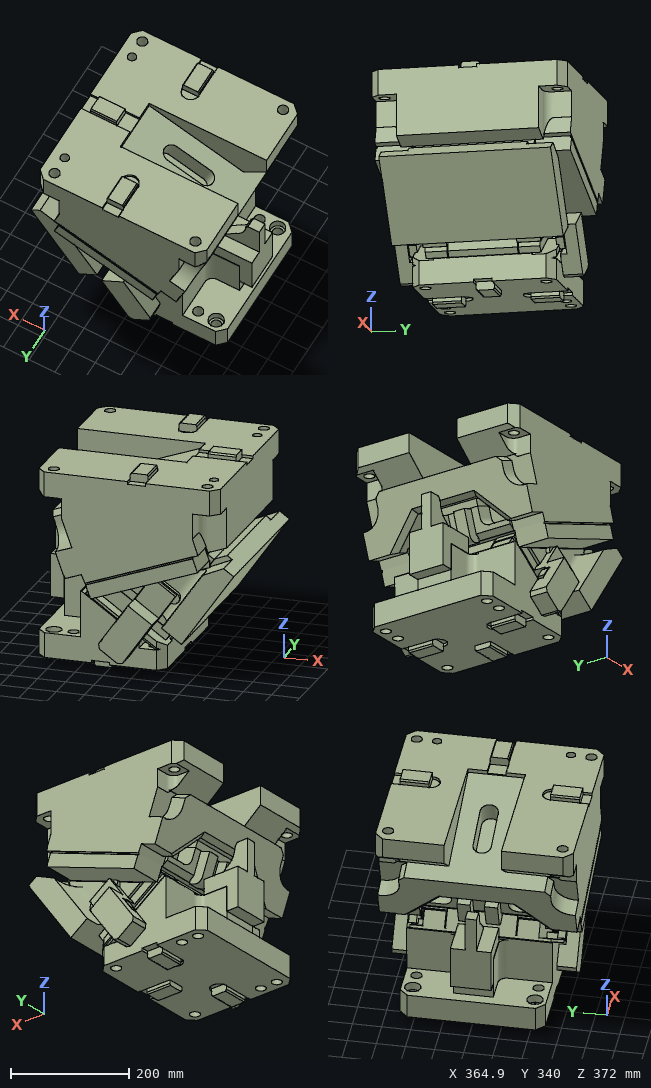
import cadquery as cq
import math


total_height = 372.0
key_stand_out = 10.0
base_bottom = key_stand_out
holder_top = total_height - key_stand_out
plate_thickness = 45.0
corner_chamfer = 15.0
inner_radius = 15.0
clearance = 0.7

bolt_hole = 18.5
dowel_hole = 15.5
counterbore = 27.0
counterbore_depth = 15.0
bolt_inset_x = 25.3
bolt_inset_y = 20.0

key_width = 32.0
key_length = 50.2
key_sink = 5.0
key_bevel_height = 3.5
key_bevel_width = 2.0

holder_left = 19.5
holder_right = 343.7
holder_half = 170.0
holder_angle = 20.0
arch_tip = (33.0, 276.8)
arch_height = 109.5
arch_thickness = 31.5
holder_bed_start = (106.8, 169.5)
lip_left = 310.5
lip_drop = 11.0
ramp_half = 49.0
ramp_wall_x = 247.8
holder_key_x = 198.3
holder_key_y = 104.0
holder_end_key_x = 274.5
holder_dowel_y = 115.0
side_pocket_y = 130.5
rear_pocket_y = 123.5
front_pocket_x = 64.7
rear_pocket_x = 298.5

strip_inner = 107.5
strip_thickness = 25.5
strip_gap = 3.0
strip_length = 203.0

base_left = 4.5
base_right = 234.0
base_half = 125.0
base_angle = 35.0
wall_x = 83.7
bed_start = (94.5, 137.3)
bed_length = 154.8
rail_height = 28.5
rail_outer = 99.7
rail_gap = 2.0
wear_outer = 102.3
guide_half = 60.3
guide_height = 41.0
bed_step = 5.0
rear_bed_start = 93.0
rear_bed_height = 10.5
base_key_x = 119.5
base_key_y = 60.3
base_end_key_x = 164.5
base_dowel_x = 64.7

post_left = 24.5
post_half = 34.2
post_top = 134.0
stop_half = 35.0
stop_leg_bottom = 86.0
stop_shoulder = 164.0
stop_top = 228.5
stop_right = 74.0
web_half = 9.5

slide_floor = 48.0
slide_half = 105.5
slide_web_half = 108.0
core_top = 190.0
core_top_start = 122.5
core_top_end = 136.5
core_floor_start = 7.5
nose_depth = 26.0
nose_floor = 35.5
nose_floor_end = -8.0
wing_rise = 21.5
rib_rise = 57.5
rib_half = 49.0
rib_radius = 15.5
wear_floor = 30.5
face_half = 149.0
face_outer = 183.0
face_inner = 139.0
face_top = 210.0
face_side_top = 174.0
face_middle_half = 103.0
bar_left = 71.5
bar_right = 124.0
bar_bottom = -51.7
bar_top = 98.0
bar_outer = 159.0
bar_chamfer = 6.7
bar_shoulder = 46.0
lug_outer = 134.5
bar_upper_outer = 122.8

rad_holder = math.radians(holder_angle)
rad_base = math.radians(base_angle)
sin_h, cos_h, tan_h = math.sin(rad_holder), math.cos(rad_holder), math.tan(rad_holder)
sin_b, cos_b = math.sin(rad_base), math.cos(rad_base)


def slab(points, y_low, y_high):
    """Solid with an XZ outline, running from y_low to y_high."""
    return cq.Workplane("XZ", origin=(0, y_high, 0)).polyline(points).close().extrude(y_high - y_low)


def both_sides(points, y_low, y_high):
    """The same slab on the left and right of the plane of symmetry."""
    return slab(points, y_low, y_high).union(slab(points, -y_high, -y_low))


def block(x_low, x_high, y_low, y_high, z_low, z_high):
    size = (x_high - x_low, y_high - y_low, z_high - z_low)
    return cq.Workplane("XY").box(*size, centered=False).translate((x_low, y_low, z_low))


def under_holder(along, down):
    """XZ point measured along the holder bed (up to the right) and square below it."""
    x, z = holder_bed_start
    return (x + along * cos_h + down * sin_h, z + along * sin_h - down * cos_h)


def on_arch(depth, down):
    """XZ point measured square into the arch face and down along it."""
    x, z = arch_tip
    return (x + depth * cos_h + down * sin_h, z + depth * sin_h - down * cos_h)


def on_base(along, up):
    """XZ point measured down along the base bed and square above it."""
    x, z = bed_start
    return (x + along * cos_b + up * sin_b, z - along * sin_b + up * cos_b)


def holder_bed_z(x):
    return holder_bed_start[1] + (x - holder_bed_start[0]) * tan_h


def base_bed_x(z, up):
    """X where the plane at height `up` above the base bed reaches height z."""
    start_x, start_z = on_base(0, up)
    return start_x + (start_z - z) * cos_b / sin_b


def key(length):
    """Bar key along X, centred, resting on z = 0, with its long upper edges bevelled."""
    half = key_width / 2
    height = key_sink + key_stand_out
    outline = [
        (-half, 0),
        (half, 0),
        (half, height - key_bevel_height),
        (half - key_bevel_width, height),
        (key_bevel_width - half, height),
        (-half, height - key_bevel_height),
    ]
    return cq.Workplane("YZ", origin=(-length / 2, 0, 0)).polyline(outline).close().extrude(length)


def key_seats(side_x, side_y, half_width, end_start, end_stop):
    """Grooves below z = 0: a round-ended one from each side and a straight one from the end."""
    seats = block(end_start, end_stop, -key_width / 2, key_width / 2, -key_sink, 0)
    for side in (-1, 1):
        middle = side * (side_y + half_width) / 2
        straight = cq.Workplane("XY", origin=(side_x, middle, -key_sink))
        seats = seats.union(straight.rect(key_width, half_width - side_y).extrude(key_sink))
        round_end = cq.Workplane("XY", origin=(side_x, side * side_y, -key_sink))
        seats = seats.union(round_end.circle(key_width / 2).extrude(key_sink))
    return seats


def keys(side_x, side_y, end_x):
    """Two side keys and one end key, seated key_sink below z = 0."""
    end_key = key(key_length).translate((end_x + key_length / 2, 0, -key_sink))
    all_keys = end_key
    for side in (-1, 1):
        side_key = key(key_length).rotate((0, 0, 0), (0, 0, 1), 90)
        all_keys = all_keys.union(side_key.translate((side_x, side * (side_y + key_length / 2), -key_sink)))
    return all_keys


def flip_down(shape):
    """Turn a shape made for an upper face over to the lower face at base_bottom."""
    return shape.mirror("XY").translate((0, 0, base_bottom))


def vertical_holes(points, diameter, z_low, z_high):
    start = cq.Workplane("XY", origin=(0, 0, z_low))
    return start.pushPoints(points).circle(diameter / 2).extrude(z_high - z_low)


def mirrored(x, y):
    return [(x, y), (x, -y)]


def mounting_plate(left, right, half_width, bottom):
    plate = block(left, right, -half_width, half_width, bottom, bottom + plate_thickness)
    return plate.edges("|Z").chamfer(corner_chamfer)


arch_plane = cq.Plane(
    origin=(arch_tip[0], 0, arch_tip[1]),
    xDir=(0, -1, 0),
    normal=(-cos_h, 0, -sin_h),
)
plate_bottom = holder_top - plate_thickness


def holder_casting():
    under_slope_top = 324.5
    under_slope_end = on_arch(32.7, 0)
    lip_front = lip_left - lip_drop * sin_h * cos_h
    outline = [
        (holder_left, holder_top),
        (holder_right, holder_top),
        (holder_right, holder_bed_z(holder_right) - lip_drop),
        (lip_left, holder_bed_z(lip_left) - lip_drop),
        (lip_front, holder_bed_z(lip_front)),
        holder_bed_start,
        on_arch(arch_thickness, arch_height),
        on_arch(0, arch_height),
        arch_tip,
        under_slope_end,
        (holder_left, under_slope_top),
    ]
    body = slab(outline, -holder_half, holder_half)
    corners = block(holder_left, holder_right, -holder_half, holder_half, 0, holder_top)
    corners = corners.edges("|Z").chamfer(corner_chamfer)
    corners = corners.union(block(0, holder_right, -holder_half, holder_half, 0, plate_bottom))
    return body.intersect(corners)


def ramp_opening():
    """Notch in the plate down to a ramp that continues the upper arch edge."""
    wall_base = arch_tip[1] + (ramp_wall_x - arch_tip[0]) * tan_h
    outline = [
        arch_tip,
        (ramp_wall_x, wall_base),
        (ramp_wall_x, total_height),
        (arch_tip[0] - corner_chamfer, total_height),
        (arch_tip[0] - corner_chamfer, arch_tip[1]),
    ]
    return slab(outline, -ramp_half, ramp_half)


def ramp_slot():
    slot_x = 142.5
    slot_length = 100.5
    slot_width = 31.2
    slot_depth = 41.0
    slot_z = arch_tip[1] + (slot_x - arch_tip[0]) * tan_h
    plane = cq.Plane(origin=(slot_x, 0, slot_z), xDir=(cos_h, 0, sin_h), normal=(-sin_h, 0, cos_h))
    return cq.Workplane(plane).slot2D(slot_length, slot_width).extrude(-slot_depth)


def holder_side_pockets():
    """Bolt pockets under the four corners of the plate."""
    front_low = 275.3
    outside = holder_half + inner_radius
    pockets = cq.Workplane("XY")
    for side in (-1, 1):
        inner = "<Y" if side > 0 else ">Y"
        y_low, y_high = sorted((side * side_pocket_y, side * outside))
        front = block(0, front_pocket_x, y_low, y_high, front_low, plate_bottom)
        front = front.edges("|Z").edges(">X").edges(inner).fillet(inner_radius)
        y_low, y_high = sorted((side * rear_pocket_y, side * outside))
        rear = block(rear_pocket_x, holder_right + 3.7, y_low, y_high, 0, plate_bottom)
        rear = rear.edges("|Z").edges("<X").edges(inner).fillet(inner_radius)
        pockets = pockets.add(front).add(rear)
    return pockets.combine()


def rear_wedges():
    """Toe of each side wall that leans out below the rear pockets."""
    toe_x = 308.0
    top = 272.0
    outline = [
        (rear_pocket_x, top),
        (toe_x, holder_bed_z(toe_x)),
        (rear_pocket_x, holder_bed_z(rear_pocket_x)),
    ]
    return both_sides(outline, rear_pocket_y, holder_half)


def arch_shoulders():
    """Rounded cut-outs in both upper corners of the arch face."""
    chamfer = 9.5
    round_start = 25.3
    round_end = 60.0
    round_edge = 165.0
    outside = holder_half + 3.7
    middle = math.sqrt(0.5)
    arc_middle = (
        round_edge - (round_edge - side_pocket_y) * middle,
        -round_start - (round_end - round_start) * middle,
    )
    right = (
        cq.Workplane(arch_plane)
        .moveTo(side_pocket_y - chamfer, 0)
        .lineTo(side_pocket_y, -chamfer)
        .lineTo(side_pocket_y, -round_start)
        .threePointArc(arc_middle, (round_edge, -round_end))
        .lineTo(outside, -round_end)
        .lineTo(outside, 0)
        .close()
        .extrude(-arch_thickness)
    )
    return right.union(right.mirror("XZ"))


notch_top = 45.0
notch_depth = 61.0


def arch_notch():
    """Trapezoid opening in the arch foot with a bevelled mouth, ahead of the slide channel."""
    top_half = 64.5
    foot_half = 125.7
    bevel = 9.5
    overshoot = 29.8
    slope = (foot_half - top_half) / (arch_height - notch_top)
    below = arch_height + overshoot
    below_half = foot_half + overshoot * slope
    outline = [(-top_half, -notch_top), (top_half, -notch_top), (below_half, -below), (-below_half, -below)]
    mouth = cq.Workplane(arch_plane).polyline(outline).close().extrude(-bevel, taper=45)
    inner_face = cq.selectors.DirectionMinMaxSelector(cq.Vector(cos_h, 0, sin_h), True)
    inner = mouth.faces(inner_face).wires()
    middle = inner.toPending().workplane().extrude(nose_depth - bevel, combine=False)
    through_arch = inner.toPending().workplane().extrude(arch_thickness - bevel, combine=False)
    recess = inner.toPending().workplane().extrude(notch_depth - bevel, combine=False)
    channel = block(0, holder_right, -slide_half, slide_half, 0, total_height)
    rib_wall = block(0, holder_right, -rib_half, rib_half, 0, total_height)
    sides = through_arch.union(recess.intersect(channel)).cut(rib_wall)
    return mouth.union(middle).union(sides)


def slide_section():
    """Wings and filleted middle rib of the slide above the bed plane."""
    start_x, start_z = on_arch(nose_depth, 0)
    bed_depth = (start_x - holder_bed_start[0]) * cos_h + (start_z - holder_bed_start[1]) * sin_h
    origin_x, origin_z = under_holder(bed_depth, 0)
    plane = cq.Plane(origin=(origin_x, 0, origin_z), xDir=(0, 1, 0), normal=(cos_h, 0, sin_h))
    middle = rib_radius * (1 - math.sqrt(0.5))
    fillet_end = rib_half + rib_radius
    fillet_top = wing_rise + rib_radius
    return (
        cq.Workplane(plane)
        .moveTo(-slide_half, 0)
        .lineTo(slide_half, 0)
        .lineTo(slide_half, wing_rise)
        .lineTo(fillet_end, wing_rise)
        .threePointArc((rib_half + middle, wing_rise + middle), (rib_half, fillet_top))
        .lineTo(rib_half, rib_rise)
        .lineTo(-rib_half, rib_rise)
        .lineTo(-rib_half, fillet_top)
        .threePointArc((-rib_half - middle, wing_rise + middle), (-fillet_end, wing_rise))
        .lineTo(-slide_half, wing_rise)
        .close()
        .extrude(strip_length - bed_depth)
    )


def gib_strips():
    """Strips on both sides of the slide channel, behind a narrow groove."""
    neck = [
        under_holder(0, -3.7),
        under_holder(strip_length, -3.7),
        under_holder(strip_length, strip_gap),
        under_holder(0, strip_gap),
    ]
    strip = [
        under_holder(0, strip_gap),
        under_holder(strip_length, strip_gap),
        under_holder(strip_length, strip_gap + strip_thickness),
        under_holder(0, strip_gap + strip_thickness),
    ]
    groove_depth = 2.0
    necks = both_sides(neck, strip_inner, holder_half - groove_depth)
    return necks.union(both_sides(strip, strip_inner, holder_half))


def make_holder():
    body = holder_casting().cut(holder_side_pockets()).union(rear_wedges())
    body = body.cut(arch_shoulders()).cut(arch_notch()).cut(slide_section())
    body = body.cut(ramp_opening()).cut(ramp_slot())
    body = body.union(gib_strips())

    seats = key_seats(holder_key_x, holder_key_y, holder_half, ramp_wall_x, holder_right)
    body = body.cut(seats.translate((0, 0, holder_top)))
    body = body.union(keys(holder_key_x, holder_key_y, holder_end_key_x).translate((0, 0, holder_top)))

    bolt_y = holder_half - bolt_inset_y
    bolts = mirrored(holder_left + bolt_inset_x, bolt_y) + mirrored(holder_right - bolt_inset_x, bolt_y)
    body = body.cut(vertical_holes(bolts, bolt_hole, plate_bottom, holder_top))
    dowels = mirrored(holder_right - bolt_inset_x, holder_dowel_y)
    return body.cut(vertical_holes(dowels, dowel_hole, plate_bottom, holder_top))


base_plate_top = base_bottom + plate_thickness


def base_wedge():
    """Block with the sloping top that carries the bed."""
    start = on_base(0, -bed_step)
    end_along = (base_right - start[0]) / cos_b
    outline = [
        (wall_x, base_bottom),
        (wall_x, bed_start[1]),
        (base_bed_x(bed_start[1], -bed_step), bed_start[1]),
        on_base(end_along, -bed_step),
        (base_right, base_bottom),
    ]
    return slab(outline, -base_half, base_half)


def base_bolt_pockets():
    """Clearance over the rear bolt seats."""
    left = 188.0
    floor = 47.0
    inner = 85.5
    pockets = cq.Workplane("XY")
    for y_low, y_high, side in ((inner, base_half + 18.5, "<Y"), (-base_half - 18.5, -inner, ">Y")):
        pocket = block(left, base_right + 18.5, y_low, y_high, floor, bed_start[1])
        pockets = pockets.add(pocket.edges("|Z").edges("<X").edges(side).fillet(inner_radius))
    return pockets.combine()


def slope_slab(along_low, along_high, up_low, up_high, y_low, y_high):
    outline = [
        on_base(along_low, up_low),
        on_base(along_high, up_low),
        on_base(along_high, up_high),
        on_base(along_low, up_high),
    ]
    return slab(outline, y_low, y_high)


def base_bed():
    """Bed on the slope: a low step, a higher rear part, the rails and the middle guide."""
    step_half = base_half - 3.7
    end_along = (base_right - on_base(0, rear_bed_height)[0]) / cos_b
    low_end_along = (base_right - bed_start[0]) / cos_b
    rear = [
        on_base(rear_bed_start, 0),
        on_base(low_end_along, 0),
        on_base(end_along, rear_bed_height),
        on_base(rear_bed_start, rear_bed_height),
    ]
    bed = slope_slab(0, bed_length, -bed_step, 0, -step_half, step_half)
    bed = bed.union(slab(rear, -base_half, base_half))
    rail = slope_slab(0, bed_length, -bed_step, rail_height, guide_half + rail_gap, rail_outer)
    bed = bed.union(rail).union(rail.mirror("XZ"))
    return bed.union(slope_slab(0, bed_length, -bed_step, guide_height, -guide_half, guide_half))


def base_lugs():
    """Lugs on both side walls that sit in the grooves of the return bars."""
    lug_low = 2.5
    lug_high = 23.8
    lugs = slope_slab(bar_left, bar_right, lug_low, lug_high, base_half - 3.7, lug_outer)
    return lugs.union(lugs.mirror("XZ"))


def stop_post():
    """Post in front of the wall, blended into it on both sides."""
    post = block(post_left, wall_x + 3.7, -post_half, post_half, base_plate_top, post_top)
    flare_half = post_half + inner_radius
    flare = block(wall_x - inner_radius, wall_x + 3.7, -flare_half, flare_half, base_plate_top, post_top)
    hollows = vertical_holes(
        mirrored(wall_x - inner_radius, flare_half), 2 * inner_radius, base_plate_top, post_top
    )
    return post.union(flare.cut(hollows))


def stop_block():
    """L-shaped stop hooked over the post, with a thin curved web on top."""
    hook = [
        (0, stop_leg_bottom),
        (post_left, stop_leg_bottom),
        (post_left, post_top),
        (stop_right, post_top),
        (stop_right, stop_shoulder),
        (0, stop_shoulder),
    ]
    web = (
        cq.Workplane("XZ", origin=(0, web_half, 0))
        .moveTo(0, stop_shoulder)
        .lineTo(0, stop_top)
        .lineTo(22.5, stop_top)
        .lineTo(27.0, 221.5)
        .threePointArc((33.0, 201.0), (45.8, 188.2))
        .lineTo(stop_right - 3.7, stop_shoulder)
        .close()
        .extrude(2 * web_half)
    )
    return slab(hook, -stop_half, stop_half).union(web)


def make_base():
    body = mounting_plate(base_left, base_right, base_half, base_bottom)
    body = body.union(base_wedge()).cut(base_bolt_pockets()).union(base_bed())
    column = block(base_left, base_right, -base_half, base_half, base_bottom, total_height)
    body = body.intersect(column.edges("|Z").chamfer(corner_chamfer)).union(base_lugs())
    body = body.union(stop_post()).union(stop_block())

    seats = key_seats(base_key_x, base_key_y, base_half, base_end_key_x, base_right)
    body = body.cut(flip_down(seats)).union(flip_down(keys(base_key_x, base_key_y, base_end_key_x)))

    bolt_y = base_half - bolt_inset_y
    front_bolts = mirrored(base_left + bolt_inset_x, bolt_y)
    rear_bolts = mirrored(base_right - bolt_inset_x, bolt_y)
    body = body.cut(vertical_holes(front_bolts + rear_bolts, bolt_hole, base_bottom, base_plate_top))
    seat_z = base_plate_top - counterbore_depth
    body = body.cut(vertical_holes(front_bolts, counterbore, seat_z, base_plate_top))
    dowels = mirrored(base_dowel_x, bolt_y)
    return body.cut(vertical_holes(dowels, bolt_hole, base_bottom, base_plate_top))


strip_under = strip_gap + strip_thickness + clearance


def floor_start(down):
    """Point on the slide floor at the given distance below the holder bed."""
    x, z = on_base(0, slide_floor)
    start_down = (x - holder_bed_start[0]) * sin_h - (z - holder_bed_start[1]) * cos_h
    return on_base((down - start_down) / math.sin(rad_holder + rad_base), slide_floor)


def slide_core():
    """Middle of the slide, running in the channel of the holder down to its floor."""
    outline = [
        on_base(nose_floor_end, nose_floor),
        under_holder(strip_length, 0),
        on_base(core_top_start, core_top),
        on_base(core_top_end, core_top),
        on_base(face_inner, slide_floor),
        on_base(core_floor_start, slide_floor),
    ]
    nose_reach = 55.8
    nose_relief = slope_slab(-nose_reach, nose_floor_end, 0, nose_floor, -slide_half, slide_half)
    return slide_section().cut(nose_relief).union(slab(outline, -slide_half, slide_half))


def prongs():
    """Two rounded prongs on the slide nose, one on each side of the stop web."""
    inner = 12.3
    outer = 35.0
    front = 5.2
    back = 31.2
    top = 69.2
    bottom = 128.5
    nose_radius = 13.5
    outline = [
        on_arch(front, top),
        on_arch(back, top),
        on_arch(back, bottom),
        on_arch(front, bottom),
    ]
    right = slab(outline, inner, outer).edges("|Y").edges("<Z").fillet(nose_radius)
    return right.union(right.mirror("XZ"))


def slide_web():
    """Wider part of the slide below the gib strips."""
    outline = [
        floor_start(strip_under),
        under_holder(strip_length, strip_under),
        on_base(face_inner, face_side_top),
        on_base(face_inner, slide_floor),
    ]
    return slab(outline, -slide_web_half, slide_web_half)


def face_plate():
    """Working plate square to the base slope, lower at its sides than in the middle."""
    side_top_start = 161.0
    middle_top_start = 150.0
    sides = [
        on_base(face_inner, slide_floor),
        on_base(face_outer, slide_floor),
        on_base(face_outer, face_top),
        on_base(side_top_start, face_top),
        on_base(face_inner, face_side_top),
    ]
    middle = [
        on_base(face_inner, slide_floor),
        on_base(face_outer, slide_floor),
        on_base(face_outer, face_top),
        on_base(middle_top_start, face_top),
        on_base(core_top_end, core_top),
    ]
    return slab(sides, -face_half, face_half).union(slab(middle, -face_middle_half, face_middle_half))


def face_fillets():
    """Concave blends between the web and the back of the face plate."""
    radius = 17.5
    start = face_inner - radius
    outline = [
        on_base(start, slide_floor),
        on_base(face_inner, slide_floor),
        on_base(face_inner, face_side_top),
        on_base(start, face_side_top - radius * math.tan(rad_holder + rad_base)),
    ]
    fillets = cq.Workplane("XY")
    for side in (-1, 1):
        axis_y = side * (slide_web_half + radius)
        y_low, y_high = sorted((side * slide_web_half, axis_y))
        corner = slab(outline, y_low, y_high)
        x, z = on_base(start, slide_floor)
        plane = cq.Plane(origin=(x, axis_y, z), xDir=(0, 1, 0), normal=(sin_b, 0, cos_b))
        fillets = fillets.add(corner.cut(cq.Workplane(plane).circle(radius).extrude(face_top)))
    return fillets.combine()


def return_bar():
    """Bar on the +Y side: a thick lower part with a groove for the base lug, set inward above."""
    groove_low = -7.0
    groove_high = 26.0
    groove_outer = 136.5
    lower = slope_slab(bar_left, bar_right, bar_bottom, bar_shoulder, base_half, bar_outer)
    lowest = cq.selectors.DirectionMinMaxSelector(cq.Vector(-sin_b, 0, -cos_b), True)
    lower = lower.faces(lowest).edges("|Y").chamfer(bar_chamfer)
    groove = slope_slab(bar_left, bar_right, groove_low, groove_high, base_half, groove_outer)
    bridge = slope_slab(bar_left, bar_right, wear_floor, bar_shoulder, wear_outer - 3.7, base_half)
    upper = slope_slab(bar_left, bar_right, bar_shoulder, bar_top, slide_web_half - 3.7, bar_upper_outer)
    return lower.cut(groove).union(bridge).union(upper)


def strip_space():
    """Room taken by the +Y gib strip."""
    reach = strip_length + bar_top
    outline = [
        under_holder(0, 0),
        under_holder(0, strip_under),
        under_holder(reach, strip_under),
        under_holder(reach, 0),
    ]
    return slab(outline, strip_inner, holder_half)


def bar_seat():
    """Round-ended boss behind the upper part of the +Y bar."""
    seat_outer = 115.5
    seat_length = 68.0
    seat_width = 21.0
    x, z = on_base(99.5, 89.5)
    plane = cq.Plane(origin=(x, seat_outer, z), xDir=(cos_b, 0, -sin_b), normal=(0, -1, 0))
    return cq.Workplane(plane).slot2D(seat_length, seat_width).extrude(seat_outer - slide_web_half + 3.7)


def make_slide():
    body = slide_core().union(slide_web()).union(face_plate()).union(face_fillets()).union(prongs())
    wear_inner = guide_half + clearance
    wear_plate = slope_slab(-clearance, bed_length, wear_floor, slide_floor, wear_inner, wear_outer)
    side_bar = return_bar().union(bar_seat()).cut(strip_space())
    one_side = wear_plate.union(side_bar)
    return body.union(one_side).union(one_side.mirror("XZ"))


holder = make_holder()
base = make_base()
slide = make_slide()

result = cq.Compound.makeCompound([holder.solids().val(), base.solids().val(), slide.solids().val()])